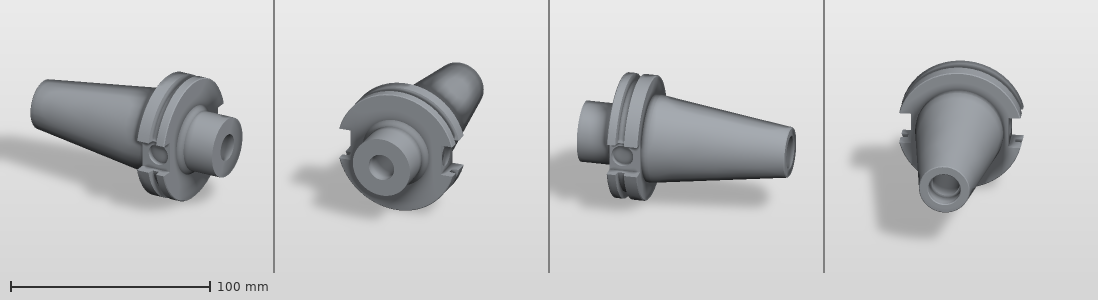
import cadquery as cq

length = 106.7
taper_end = 68.5
flange_start = 71.7
flange_end = 87.5
groove_center = 80.8
neck_start = 90.3

nose_diameter = 25.6
seat_diameter = 44.5
flange_diameter = 63.5
groove_diameter = 56.5
neck_base_diameter = 35.7
neck_diameter = 30.9

nose_chamfer = 0.4
flange_chamfer = 0.4
groove_floor_width = 3.3
groove_mouth_width = 4.5

through_diameter = 13.8
counterbore_diameter = 16.2
counterbore_depth = 8.0
mouth_diameter = 17.1

slot_width = 16.2
slot_floor_span = 49.1
dimple_diameter = 11.2
dimple_depth = 3.0

flange_radius = flange_diameter / 2
mouth_chamfer = (mouth_diameter - counterbore_diameter) / 2


def make_body():
    """Revolve the taper, flange and neck about the X axis."""
    groove_floor_radius = groove_diameter / 2
    profile = [
        (0, 0),
        (0, nose_diameter / 2 - nose_chamfer),
        (nose_chamfer, nose_diameter / 2),
        (taper_end, seat_diameter / 2),
        (flange_start, seat_diameter / 2),
        (flange_start, flange_radius - flange_chamfer),
        (flange_start + flange_chamfer, flange_radius),
        (groove_center - groove_mouth_width / 2, flange_radius),
        (groove_center - groove_floor_width / 2, groove_floor_radius),
        (groove_center + groove_floor_width / 2, groove_floor_radius),
        (groove_center + groove_mouth_width / 2, flange_radius),
        (flange_end - flange_chamfer, flange_radius),
        (flange_end, flange_radius - flange_chamfer),
        (flange_end, neck_base_diameter / 2),
        (neck_start, neck_diameter / 2),
        (length, neck_diameter / 2),
        (length, 0),
    ]
    return cq.Workplane("XY").polyline(profile).close().revolve(360, (0, 0, 0), (1, 0, 0))


def make_bore():
    """Through hole with a chamfered counterbore at the taper end."""
    profile = [
        (0, 0),
        (0, mouth_diameter / 2),
        (mouth_chamfer, counterbore_diameter / 2),
        (counterbore_depth, counterbore_diameter / 2),
        (counterbore_depth, through_diameter / 2),
        (length, through_diameter / 2),
        (length, 0),
    ]
    return cq.Workplane("XY").polyline(profile).close().revolve(360, (0, 0, 0), (1, 0, 0))


def make_drive_slot(side):
    """Slot across the flange, with a round dimple in its floor; side is -1 or 1 along Y."""
    floor_y = side * slot_floor_span / 2
    slot_depth = flange_radius - slot_floor_span / 2
    flange_width = flange_end - flange_start
    slot = cq.Workplane("XY").box(flange_width, slot_depth, slot_width).translate(
        ((flange_start + flange_end) / 2, floor_y + side * slot_depth / 2, 0)
    )
    dimple = (
        cq.Workplane("XZ", origin=(groove_center, floor_y, 0))
        .circle(dimple_diameter / 2)
        .extrude(side * dimple_depth)
    )
    return slot.union(dimple)


result = make_body().cut(make_bore())
for side in (-1, 1):
    result = result.cut(make_drive_slot(side))